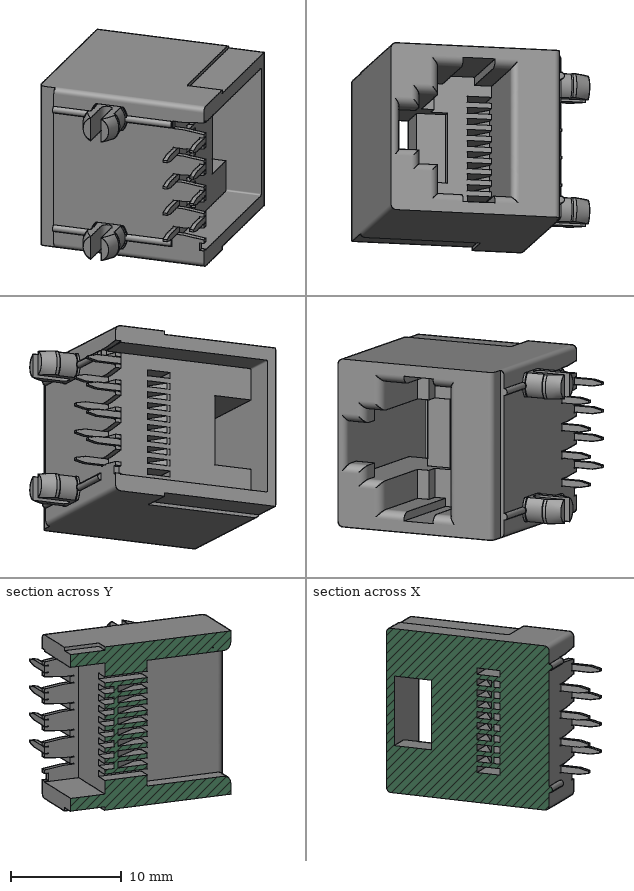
import cadquery as cq
import math


OVERALL_HEIGHT = 19.7
LENGTH = 15.9
HEIGHT = 16.08
WIDTH = 15.4
EDGE_RADIUS = 0.5
FLANGE_LENGTH = 1.5
FLANGE_SETBACK = 0.37

MOUTH_RADIUS = 0.75
FLOOR_MOUTH_RADIUS = 0.65
TOP_MOUTH_RADIUS = 0.53
PLUG_FLOOR = 4.87
PLUG_TOP = 11.62
PLUG_HALF_WIDTH = 5.9
LATCH_TOP = 13.35
LATCH_HALF_WIDTH = 3.23
TAB_TOP = 15.25
TAB_HALF_WIDTH = 1.95
TAB_GUIDE_LENGTH = 1.97
SIDE_GROOVE_LOW = 6.45
SIDE_GROOVE_HIGH = 9.4
PLUG_DEPTH = 8.27
SHOULDER_DEPTH = 7.1
SHOULDER_LOW = 10.48
LATCH_POCKET_DEPTH = 9.06
LATCH_POCKET_LOW = 8.95

POSITIONS = 10
SLOT_ROW_SPAN = 9.18
SLOT_PITCH = SLOT_ROW_SPAN / (POSITIONS - 1)
SLOT_WIDTH = 0.55
SLOT_TOP = 7.11
CONTACT_THICKNESS = 0.3
CONTACT_START = 9.06

REAR_START = 12.5
REAR_HALF_WIDTH = 6.15
REAR_CORNER_RADIUS = 0.15
BOARD_WALL = 0.53
RECESS_DEPTH = 0.32
RECESS_LOW = 4.92
RECESS_CORNER = 0.12

PIN_ROW_GAP = 2.55
PIN_PITCH = PIN_ROW_GAP / 2
PIN_THICKNESS = 0.4
PIN_WIDTH = 0.6
PIN_TIP_WIDTH = 0.2
PIN_LENGTH = 2.72
PIN_TAPER_START = 1.81
PIN_SLOT_WIDTH = 0.7
PIN_SLOT_REAR_WIDTH = 1.15
PIN_SLOT_STRAIGHT = 0.98
REAR_ROW_X = LENGTH - PIN_THICKNESS
FRONT_ROW_X = REAR_ROW_X - PIN_ROW_GAP

PEG_X = 6.85
PEG_Z = (POSITIONS - 1) / 2 * PIN_PITCH
PEG_HALF_THICKNESS = 1.1
PEG_LENGTH = OVERALL_HEIGHT - HEIGHT
PEG_RADIUS = 1.58
PEG_HEAD_RADIUS = 1.71
PEG_TIP_RADIUS = 1.22
PEG_COLLAR = 0.22
PEG_HEAD_START = 1.9
PEG_HEAD_WIDEST = 2.0
PEG_CONE_START = 2.3
PEG_SLOT_WIDTH = 1.0
PEG_SLOT_TOP = 0.3
RAIL_RADIUS = 0.32
RAIL_END = 12.85


def box(x_range, y_range, z_range):
    sizes = [high - low for low, high in (x_range, y_range, z_range)]
    return cq.Workplane("XY").box(*sizes, centered=False).translate((x_range[0], y_range[0], z_range[0]))


def centred_box(x_range, y_range, half_width):
    return box(x_range, y_range, (-half_width, half_width))


def spread(count, pitch):
    """Evenly spaced Z places about the mid-plane, highest first."""
    return [((count - 1) / 2 - i) * pitch for i in range(count)]


def make_housing():
    block = centred_box((0, LENGTH), (0, HEIGHT), WIDTH / 2).edges("|X").fillet(EDGE_RADIUS)
    side_outline = (
        cq.Workplane("XY")
        .moveTo(0, HEIGHT)
        .lineTo(0, FLANGE_SETBACK + EDGE_RADIUS)
        .radiusArc((EDGE_RADIUS, FLANGE_SETBACK), -EDGE_RADIUS)
        .lineTo(FLANGE_LENGTH, FLANGE_SETBACK)
        .lineTo(FLANGE_LENGTH, 0)
        .lineTo(LENGTH, 0)
        .lineTo(LENGTH, HEIGHT)
        .close()
        .extrude(WIDTH / 2, both=True)
    )
    return block.intersect(side_outline)


def flared_slab(plane, low, high, low_radius, high_radius, depth, reach):
    """Slab between low and high whose mouth at X = 0 opens out on rounded edges."""
    bend = 1 - math.sqrt(0.5)
    return (
        cq.Workplane(plane)
        .moveTo(0, low - low_radius)
        .threePointArc((bend * low_radius, low - bend * low_radius), (low_radius, low))
        .lineTo(depth, low)
        .lineTo(depth, high)
        .lineTo(high_radius, high)
        .threePointArc((bend * high_radius, high + bend * high_radius), (0, high + high_radius))
        .close()
        .extrude(reach, both=True)
    )


def flared_opening(top, half_width, top_radius, depth):
    upright = flared_slab("XY", PLUG_FLOOR, top, FLOOR_MOUTH_RADIUS, top_radius, depth, WIDTH)
    across = flared_slab("XZ", -half_width, half_width, MOUTH_RADIUS, MOUTH_RADIUS, depth, HEIGHT)
    return upright.intersect(across)


def make_plug_cavity():
    cavity = flared_opening(PLUG_TOP, PLUG_HALF_WIDTH, MOUTH_RADIUS, SHOULDER_DEPTH)
    cavity = cavity.union(flared_opening(LATCH_TOP, LATCH_HALF_WIDTH, MOUTH_RADIUS, SHOULDER_DEPTH))
    cavity = cavity.union(flared_opening(TAB_TOP, TAB_HALF_WIDTH, TOP_MOUTH_RADIUS, SHOULDER_DEPTH))
    groove_half_width = PLUG_HALF_WIDTH + MOUTH_RADIUS
    groove = centred_box((0, PLUG_DEPTH), (SIDE_GROOVE_LOW, SIDE_GROOVE_HIGH), groove_half_width)
    inner_end = centred_box((MOUTH_RADIUS, PLUG_DEPTH), (PLUG_FLOOR, SHOULDER_LOW), PLUG_HALF_WIDTH)
    pocket_x = (MOUTH_RADIUS, LATCH_POCKET_DEPTH)
    latch_pocket = centred_box(pocket_x, (LATCH_POCKET_LOW, PLUG_TOP), LATCH_HALF_WIDTH)
    latch_tunnel = centred_box((TAB_GUIDE_LENGTH, LENGTH), (PLUG_TOP, TAB_TOP), LATCH_HALF_WIDTH)
    for piece in (groove, inner_end, latch_pocket, latch_tunnel):
        cavity = cavity.union(piece)
    return cavity


def make_contact_slots():
    slots = cq.Workplane("XY")
    for z in spread(POSITIONS, SLOT_PITCH):
        slot = centred_box((PLUG_DEPTH, REAR_START), (PLUG_FLOOR, SLOT_TOP), SLOT_WIDTH / 2)
        slots = slots.add(slot.translate((0, 0, z)))
    return slots.combine()


def make_contact(z):
    """Sloping strip that fills its slot from the floor near the plug end to the top at the rear."""
    return (
        cq.Workplane("XY", origin=(0, 0, z))
        .moveTo(CONTACT_START, PLUG_FLOOR)
        .lineTo(REAR_START, SLOT_TOP)
        .lineTo(REAR_START, SLOT_TOP - CONTACT_THICKNESS)
        .lineTo(CONTACT_START, PLUG_FLOOR - CONTACT_THICKNESS)
        .close()
        .extrude(SLOT_WIDTH / 2, both=True)
    )


def make_rear_chamber():
    chamber = centred_box((REAR_START, LENGTH), (BOARD_WALL, TAB_TOP), REAR_HALF_WIDTH)
    return chamber.edges("|X and >Y").fillet(REAR_CORNER_RADIUS)


def make_side_recess():
    recess = box((REAR_START, LENGTH), (RECESS_LOW, HEIGHT), (WIDTH / 2 - RECESS_DEPTH, WIDTH / 2))
    return recess.edges("|Z and <X and <Y").fillet(RECESS_CORNER)


def make_front_pin_slot(z):
    """Slot that widens towards the rear face."""
    half = PIN_SLOT_WIDTH / 2
    rear_half = PIN_SLOT_REAR_WIDTH / 2
    straight_end = FRONT_ROW_X + PIN_SLOT_STRAIGHT
    return (
        cq.Workplane("XZ", origin=(0, 0, z))
        .polyline([
            (FRONT_ROW_X, -half),
            (straight_end, -half),
            (LENGTH, -rear_half),
            (LENGTH, rear_half),
            (straight_end, half),
            (FRONT_ROW_X, half),
        ])
        .close()
        .extrude(-BOARD_WALL)
    )


def make_rear_pin_slot(z):
    slot = centred_box((REAR_ROW_X, LENGTH), (0, BOARD_WALL), PIN_SLOT_WIDTH / 2)
    return slot.translate((0, 0, z))


def make_pin(x, z):
    half = PIN_WIDTH / 2
    tip = PIN_TIP_WIDTH / 2
    return (
        cq.Workplane("YZ", origin=(x, 0, z))
        .polyline([
            (BOARD_WALL, half),
            (-PIN_TAPER_START, half),
            (-PIN_LENGTH, tip),
            (-PIN_LENGTH, -tip),
            (-PIN_TAPER_START, -half),
            (BOARD_WALL, -half),
        ])
        .close()
        .extrude(PIN_THICKNESS)
    )


def make_peg(z):
    """Round snap peg with a flared head, flattened on both sides and split along Z."""
    peg = (
        cq.Workplane("XY")
        .polyline([
            (0, 0),
            (PEG_HEAD_RADIUS, 0),
            (PEG_HEAD_RADIUS, -PEG_COLLAR),
            (PEG_RADIUS, -PEG_COLLAR),
            (PEG_RADIUS, -PEG_HEAD_START),
            (PEG_HEAD_RADIUS, -PEG_HEAD_WIDEST),
            (PEG_HEAD_RADIUS, -PEG_CONE_START),
            (PEG_TIP_RADIUS, -PEG_LENGTH),
            (0, -PEG_LENGTH),
        ])
        .close()
        .revolve(360, (0, 0, 0), (0, 1, 0))
    )
    flats = centred_box((-PEG_HEAD_RADIUS, PEG_HEAD_RADIUS), (-PEG_LENGTH, 0), PEG_HALF_THICKNESS)
    slot_half = PEG_SLOT_WIDTH / 2
    slot_bend = -PEG_SLOT_TOP - slot_half
    slot = (
        cq.Workplane("XY")
        .moveTo(-slot_half, -PEG_LENGTH)
        .lineTo(-slot_half, slot_bend)
        .threePointArc((0, -PEG_SLOT_TOP), (slot_half, slot_bend))
        .lineTo(slot_half, -PEG_LENGTH)
        .close()
        .extrude(PEG_HEAD_RADIUS, both=True)
    )
    return peg.intersect(flats).cut(slot).translate((PEG_X, 0, z))


def make_rail(z):
    start = cq.Workplane("YZ", origin=(FLANGE_LENGTH, 0, z))
    rail = start.circle(RAIL_RADIUS).extrude(RAIL_END - FLANGE_LENGTH)
    return rail.cut(centred_box((PEG_X - PEG_RADIUS, PEG_X + PEG_RADIUS), (-RAIL_RADIUS, RAIL_RADIUS), WIDTH))


body = make_housing()
body = body.cut(make_plug_cavity()).cut(make_contact_slots()).cut(make_rear_chamber())
recess = make_side_recess()
body = body.cut(recess).cut(recess.mirror("XY"))

for z in spread(POSITIONS, SLOT_PITCH)[1:-1]:
    body = body.union(make_contact(z))

for i, z in enumerate(spread(POSITIONS, PIN_PITCH)):
    in_front_row = i % 2 == 0
    body = body.cut(make_front_pin_slot(z) if in_front_row else make_rear_pin_slot(z))
    if 0 < i < POSITIONS - 1:
        body = body.union(make_pin(FRONT_ROW_X if in_front_row else REAR_ROW_X, z))

for z in (-PEG_Z, PEG_Z):
    body = body.union(make_rail(z)).union(make_peg(z))

result = body